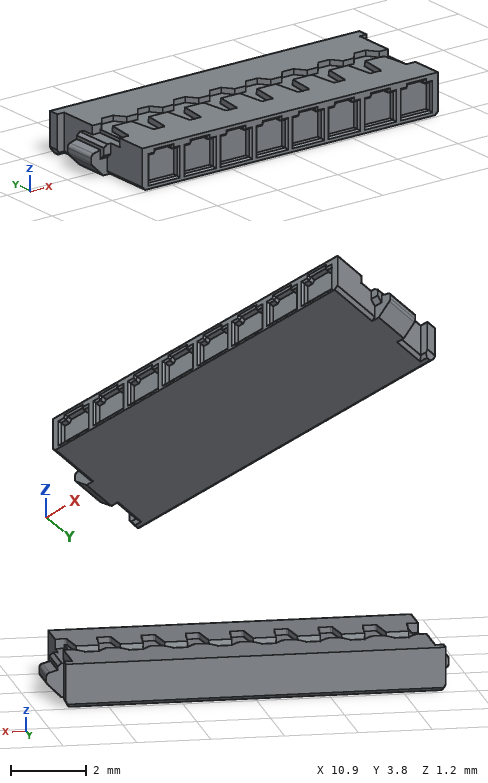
import cadquery as cq

LENGTH = 10.9
DEPTH = 3.8
HEIGHT = 1.2
BODY_HALF = 4.92
REAR = DEPTH / 2
FRONT = -DEPTH / 2
BOTTOM_CHAMFER = 0.1
BEVEL_WIDTH = 0.1

FLANGE_HALF = 5.15
FLANGE_DEPTH = 0.33
FLANGE_BEVEL_HEIGHT = 0.19

CONTACTS = 8
PITCH = 1.2

CAVITY_WIDTH = 1.06
CAVITY_FLOOR = 0.1
CAVITY_ROOF = 1.0
KEYWAY_WIDTH = 0.64
KEYWAY_HEIGHT = 0.1
FUNNEL_INSET = 0.05
FUNNEL_DEPTH = 0.05
INNER_KEYWAY_BASE = 0.62
INNER_KEYWAY_TOP = 0.49
CAVITY_DEPTH = 0.21

TROUGH_FLOOR = 1.04
TROUGH_REAR = 0.32
TROUGH_FRONT = -0.89
WAVE_HEIGHT = 0.29
WAVE_BASE = 0.84
WAVE_CREST = 0.38
TOOTH_BASE = 0.83
TOOTH_TIP = 0.61
TOOTH_TIP_Y = 0.0
TOOTH_LEAN = 0.04
TOOTH_ROOT_RADIUS = 0.04

LATCH_TOP = 0.94
END_STEP_INNER = 4.67
LATCH_REAR = 0.71
HOOK_FRONT = -0.34
ARM_FRONT = -0.5
ARM_BEVEL_WIDTH = 0.11
ARM_BEVEL_HEIGHT = 0.09
ARM_BOTTOM = 0.49
ARM_BOTTOM_FRONT = 0.63
HOOK_TOP = 0.75
HOOK_NOSE_TOP = 0.66
HOOK_NOSE_BOTTOM = 0.4
HOOK_NOSE_RADIUS = 0.12

SELECTION_MARGIN = 0.01

contact_xs = [(i - (CONTACTS - 1) / 2) * PITCH for i in range(CONTACTS)]


def beveled_profile(half_width, bevel_height):
    """Cross-section in XZ with both bottom corners beveled."""
    bottom_half = half_width - BEVEL_WIDTH
    return [
        (-half_width, HEIGHT),
        (-half_width, bevel_height),
        (-bottom_half, 0),
        (bottom_half, 0),
        (half_width, bevel_height),
        (half_width, HEIGHT),
    ]


def along_y(points, y_front, y_rear):
    """Extrude an XZ outline from y_front to y_rear."""
    plane = cq.Workplane("XZ", origin=(0, y_front, 0))
    return plane.polyline(points).close().extrude(y_front - y_rear)


def along_x(points):
    """Extrude a YZ outline over the whole length of the part."""
    return cq.Workplane("YZ").polyline(points).close().extrude(LENGTH / 2, both=True)


def make_housing():
    side = along_x([
        (FRONT, 0),
        (REAR - BEVEL_WIDTH, 0),
        (REAR, BOTTOM_CHAMFER),
        (REAR, HEIGHT),
        (FRONT, HEIGHT),
    ])
    block = along_y(beveled_profile(BODY_HALF, BOTTOM_CHAMFER), FRONT, REAR)
    return block.intersect(side)


def make_flange():
    flange_front = REAR - FLANGE_DEPTH
    side = along_x([
        (flange_front, HEIGHT),
        (flange_front, BOTTOM_CHAMFER),
        (flange_front + BEVEL_WIDTH, 0),
        (REAR - BEVEL_WIDTH, 0),
        (REAR, BOTTOM_CHAMFER),
        (REAR, HEIGHT),
    ])
    bar = along_y(beveled_profile(FLANGE_HALF, FLANGE_BEVEL_HEIGHT), flange_front, REAR)
    return bar.intersect(side)


def make_latch():
    """Latch on the +X end: a sloped hook with a wider arm above it."""
    root = BODY_HALF - BEVEL_WIDTH
    nose = LENGTH / 2
    hook_profile = [
        (root, 0),
        (nose - HOOK_NOSE_BOTTOM, 0),
        (nose, HOOK_NOSE_BOTTOM),
        (nose, HOOK_NOSE_TOP),
        (FLANGE_HALF, HOOK_TOP),
        (root, HOOK_TOP),
    ]
    hook = along_y(hook_profile, HOOK_FRONT, LATCH_REAR)
    hook = hook.faces(">X").edges("|Y").fillet(HOOK_NOSE_RADIUS)
    arm_profile = [
        (root, 0),
        (FLANGE_HALF, 0),
        (FLANGE_HALF, LATCH_TOP - ARM_BEVEL_HEIGHT),
        (FLANGE_HALF - ARM_BEVEL_WIDTH, LATCH_TOP),
        (root, LATCH_TOP),
    ]
    arm_side = along_x([
        (ARM_FRONT, LATCH_TOP),
        (ARM_FRONT, ARM_BOTTOM_FRONT),
        (HOOK_FRONT, ARM_BOTTOM),
        (LATCH_REAR, ARM_BOTTOM),
        (LATCH_REAR, LATCH_TOP),
    ])
    arm = along_y(arm_profile, ARM_FRONT, LATCH_REAR).intersect(arm_side)
    return hook.union(arm)


def make_trough():
    """Trough cutter: wavy rear wall, toothed front wall, open at both ends."""
    outline = [(BODY_HALF, TROUGH_FRONT), (BODY_HALF, TROUGH_REAR)]
    for x in reversed(contact_xs):
        outline += [
            (x + WAVE_BASE / 2, TROUGH_REAR),
            (x + WAVE_CREST / 2, TROUGH_REAR + WAVE_HEIGHT),
            (x - WAVE_CREST / 2, TROUGH_REAR + WAVE_HEIGHT),
            (x - WAVE_BASE / 2, TROUGH_REAR),
        ]
    outline += [(-BODY_HALF, TROUGH_REAR), (-BODY_HALF, TROUGH_FRONT)]
    for x in contact_xs:
        outline += [
            (x - TOOTH_BASE / 2, TROUGH_FRONT),
            (x - TOOTH_TIP / 2, TOOTH_TIP_Y),
            (x + TOOTH_TIP / 2, TOOTH_TIP_Y),
            (x + TOOTH_BASE / 2, TROUGH_FRONT),
        ]
    floor = cq.Workplane("XY", origin=(0, 0, TROUGH_FLOOR))
    trough = floor.polyline(outline).close().extrude(HEIGHT - TROUGH_FLOOR)

    reach = contact_xs[-1] + TOOTH_BASE / 2 + SELECTION_MARGIN
    tooth_roots = cq.selectors.BoxSelector(
        (-reach, TROUGH_FRONT - SELECTION_MARGIN, TROUGH_FLOOR),
        (reach, TROUGH_FRONT + SELECTION_MARGIN, HEIGHT),
    )
    trough = trough.edges("|Z").edges(tooth_roots).fillet(TOOTH_ROOT_RADIUS)

    tip_wedge = along_x([
        (TOOTH_TIP_Y, TROUGH_FLOOR),
        (TOOTH_TIP_Y, HEIGHT),
        (TOOTH_TIP_Y - TOOTH_LEAN, HEIGHT),
    ])
    return trough.union(tip_wedge)


def make_end_step(side):
    """Deeper step at one end of the trough, level with the latch top."""
    width = BODY_HALF - END_STEP_INNER
    return (
        cq.Workplane("XY", origin=(side * (END_STEP_INNER + width / 2), 0, LATCH_TOP))
        .center(0, (TROUGH_REAR + TROUGH_FRONT) / 2)
        .rect(width, TROUGH_REAR - TROUGH_FRONT)
        .extrude(HEIGHT - LATCH_TOP)
    )


def cavity_outline(x, width, floor, roof, keyway_base, keyway_top):
    keyway_roof = roof + KEYWAY_HEIGHT
    return [
        (x - width / 2, floor),
        (x - width / 2, roof),
        (x - keyway_base / 2, roof),
        (x - keyway_top / 2, keyway_roof),
        (x + keyway_top / 2, keyway_roof),
        (x + keyway_base / 2, roof),
        (x + width / 2, roof),
        (x + width / 2, floor),
    ]


def make_cavity(x):
    """Keyed cavity with a funnel mouth and straight inner walls."""
    mouth = cavity_outline(
        x, CAVITY_WIDTH, CAVITY_FLOOR, CAVITY_ROOF, KEYWAY_WIDTH, KEYWAY_WIDTH)
    throat = cavity_outline(
        x,
        CAVITY_WIDTH - 2 * FUNNEL_INSET,
        CAVITY_FLOOR + FUNNEL_INSET,
        CAVITY_ROOF - FUNNEL_INSET,
        INNER_KEYWAY_BASE,
        INNER_KEYWAY_TOP,
    )
    funnel = (
        cq.Workplane("XZ", origin=(0, FRONT, 0))
        .polyline(mouth)
        .close()
        .workplane(offset=-FUNNEL_DEPTH)
        .polyline(throat)
        .close()
        .loft(ruled=True)
    )
    return funnel.union(along_y(throat, FRONT + FUNNEL_DEPTH, FRONT + CAVITY_DEPTH))


result = make_housing().union(make_flange()).cut(make_trough())
for contact_x in contact_xs:
    result = result.cut(make_cavity(contact_x))
for end in (-1, 1):
    result = result.cut(make_end_step(end))
latch = make_latch()
result = result.union(latch).union(latch.mirror("YZ"))